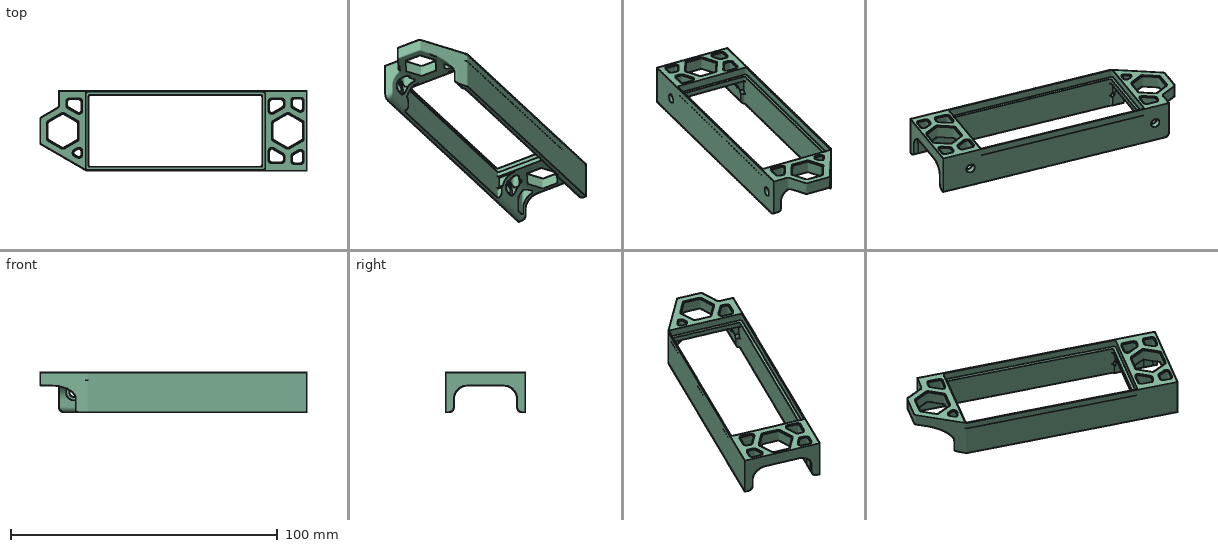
import cadquery as cq
import math

LENGTH = 100.0
WIDTH = 30.0
HEIGHT = 15.0
END_X = LENGTH / 2

SLANT = math.radians(30)
SLOPE = math.tan(SLANT)

PICK_MARGIN = 0.1

HEX_ACROSS_FLATS = 12.0
HEX_MARGIN = 2.5
HEX_CORNER_RADIUS = 1.0
HEX_APOTHEM = HEX_ACROSS_FLATS / 2
HEX_POINT = HEX_APOTHEM / math.cos(SLANT)
TAB_APOTHEM = HEX_APOTHEM + HEX_MARGIN
LEFT_HEX_X = -END_X + TAB_APOTHEM

WINDOW_LENGTH = 65.0
WINDOW_WIDTH = 26.8
WINDOW_CORNER_RADIUS = 0.5
SEAT_LEDGE = 1.2
SEAT_LENGTH = WINDOW_LENGTH + 2 * SEAT_LEDGE
SEAT_WIDTH = WINDOW_WIDTH + 2 * SEAT_LEDGE
SEAT_DEPTH = 3.0
SEAT_CORNER_RADIUS = 0.7
WINDOW_X = LEFT_HEX_X + TAB_APOTHEM + SEAT_LENGTH / 2
RIGHT_HEX_X = 2 * WINDOW_X - LEFT_HEX_X

NOTCH_X = -END_X + 7.0
TAB_CORNER_RADIUS = 1.0
SHOULDER_RADIUS = 1.75

ARCH_WIDTH = 23.6
ARCH_HEIGHT = 10.0
ARCH_RADIUS = 5.0
FOOT_RADIUS = 2.0
ARCH_EDGE_RADIUS = 0.5

RIB = 2.3
HOLE_POINT = HEX_POINT + RIB / math.cos(SLANT)
SPOKE = 2.4
SEAT_WALL = 1.2
END_WALL = 1.1
TAB_RIB = 2.5
SIDE_WALL = 2.8
OUTER_SIDE_WALL = 2.5
HOLE_CORNER_RADIUS = 1.3
TOP_CHAMFER = 0.4

SCREW_DIAMETER = 3.4
SPOTFACE_DIAMETER = 6.0
SPOTFACE_WALL = 2.5
SPOTFACE_REACH = 5.0
SCREW_X_FROM_END = 12.7
SCREW_Z = HEIGHT / 2

UNDERCUT = 0.8
UNDERCUT_BOTTOM = SCREW_Z - SPOTFACE_DIAMETER / 2
UNDERCUT_RISE = UNDERCUT * math.tan(math.radians(60))


def outer_block():
    """Block with the pointed tab at -X, its notch and its rounded corners."""
    nose_y = TAB_APOTHEM * SLOPE
    half_width = WIDTH / 2
    notch_y = nose_y + (NOTCH_X + END_X) * SLOPE
    shoulder_x = -END_X + (half_width - nose_y) / SLOPE
    block = (
        cq.Workplane("XY")
        .polyline([
            (END_X, -half_width),
            (END_X, half_width),
            (NOTCH_X, half_width),
            (NOTCH_X, notch_y),
            (-END_X, nose_y),
            (-END_X, -nose_y),
            (shoulder_x, -half_width),
        ])
        .close()
        .extrude(HEIGHT)
    )

    def upright_at(x, y):
        low = (x - PICK_MARGIN, y - PICK_MARGIN, 0)
        high = (x + PICK_MARGIN, y + PICK_MARGIN, HEIGHT)
        return cq.selectors.BoxSelector(low, high)

    for corner in [(NOTCH_X, notch_y), (-END_X, nose_y), (-END_X, -nose_y)]:
        block = block.edges(upright_at(*corner)).fillet(TAB_CORNER_RADIUS)
    return block.edges(upright_at(shoulder_x, -half_width)).fillet(SHOULDER_RADIUS)


def arch_tunnel():
    """Tunnel along the whole part, with rounded top corners."""
    return (
        cq.Workplane("YZ", origin=(-END_X, 0, 0))
        .rect(ARCH_WIDTH, 2 * ARCH_HEIGHT)
        .extrude(LENGTH)
        .edges("|X and >Z")
        .fillet(ARCH_RADIUS)
    )


def round_tab_arch(body):
    """Round the edge where the tunnel breaks out through the tab."""
    low = (-END_X - PICK_MARGIN, -ARCH_WIDTH / 2 - PICK_MARGIN, PICK_MARGIN)
    high = (WINDOW_X, ARCH_WIDTH / 2 + PICK_MARGIN, ARCH_HEIGHT + PICK_MARGIN)
    return body.edges(cq.selectors.BoxSelector(low, high)).edges("not |X").fillet(ARCH_EDGE_RADIUS)


def round_back_foot(body):
    """Round the +Y foot along the tunnel; the rounding runs on around the -X end of the leg."""
    low = (-END_X, ARCH_WIDTH / 2 - PICK_MARGIN, -PICK_MARGIN)
    high = (END_X, ARCH_WIDTH / 2 + PICK_MARGIN, PICK_MARGIN)
    return body.edges(cq.selectors.BoxSelector(low, high)).edges("|X").fillet(FOOT_RADIUS)


def front_foot_rounding():
    """Cutter that rounds the inner edge of the -Y foot along its whole length."""
    edge_y = -ARCH_WIDTH / 2
    corner = (
        cq.Workplane("YZ", origin=(-END_X, edge_y, 0))
        .rect(-FOOT_RADIUS, FOOT_RADIUS, centered=False)
        .extrude(LENGTH)
    )
    rounding = (
        cq.Workplane("YZ", origin=(-END_X, edge_y - FOOT_RADIUS, FOOT_RADIUS))
        .circle(FOOT_RADIUS)
        .extrude(LENGTH)
    )
    return corner.cut(rounding)


def flared_hole(points, radius):
    """Through cutter whose rounded outline, given at the top face, narrows by the chamfer."""
    blank = cq.Workplane("XY").polyline(points).close().extrude(HEIGHT).edges("|Z").fillet(radius)
    rim = blank.faces(">Z").wires().toPending().workplane()
    flare = rim.extrude(-TOP_CHAMFER, taper=45, combine=False)
    narrow = flare.faces("<Z").wires().toPending().workplane()
    shaft = narrow.extrude(HEIGHT, combine=False)
    return flare.union(shaft)


def hexagon_hole(center_x):
    """Cutter for one mounting hexagon."""
    corners = []
    for i in range(6):
        angle = SLANT + math.radians(60 * i)
        corners.append((center_x + HEX_POINT * math.cos(angle), HEX_POINT * math.sin(angle)))
    return flared_hole(corners, HEX_CORNER_RADIUS)


def corner_outline(near, far, side_y, to_right, to_back):
    """Four-sided outline between a hexagon and a side wall.

    It spans near to far along X from the hexagon centre; to_right and to_back are 1 or -1
    and pick the corner.
    """
    def slant_y(distance):
        return HOLE_POINT - distance * SLOPE

    quarter = [(near, side_y), (far, side_y), (far, slant_y(far)), (near, slant_y(near))]
    return [(to_right * x, to_back * y) for x, y in quarter]


def shifted(points, center_x):
    """Move an outline from the hexagon centre to its place along X."""
    return [(center_x + x, y) for x, y in points]


def lightening_holes():
    """Cutters for the six holes around the two hexagons."""
    near = SPOKE / 2
    seat_far = TAB_APOTHEM - SEAT_WALL
    end_far = END_X - RIGHT_HEX_X - END_WALL
    side_y = WIDTH / 2 - SIDE_WALL
    outer_side_y = WIDTH / 2 - OUTER_SIDE_WALL

    outlines = [shifted(corner_outline(near, seat_far, side_y, 1, 1), LEFT_HEX_X)]
    for to_back in (1, -1):
        outlines.append(shifted(corner_outline(near, seat_far, side_y, -1, to_back), RIGHT_HEX_X))
        outlines.append(shifted(corner_outline(near, end_far, outer_side_y, 1, to_back), RIGHT_HEX_X))

    tab_line = (TAB_APOTHEM - TAB_RIB) / math.cos(SLANT)
    apex_x = (HOLE_POINT - tab_line) / (2 * SLOPE)
    triangle = [
        (apex_x, -tab_line - apex_x * SLOPE),
        (seat_far, -tab_line - seat_far * SLOPE),
        (seat_far, -HOLE_POINT + seat_far * SLOPE),
    ]
    outlines.append(shifted(triangle, LEFT_HEX_X))
    return [flared_hole(outline, HOLE_CORNER_RADIUS) for outline in outlines]


def pocket(length, width, depth, radius):
    """Rounded rectangular cutter sunk from the top face, centred on the window."""
    return (
        cq.Workplane("XY", origin=(WINDOW_X, 0, HEIGHT - depth))
        .rect(length, width)
        .extrude(depth)
        .edges("|Z")
        .fillet(radius)
    )


def screw_hole(x):
    """Screw hole through the +Y wall with a flat seat for the screw head on the inside."""
    axis = cq.Workplane("XZ", origin=(x, WIDTH / 2, SCREW_Z))
    drill = axis.circle(SCREW_DIAMETER / 2).extrude(WIDTH / 2)
    seat_start = cq.Workplane("XZ", origin=(x, WIDTH / 2 - SPOTFACE_WALL, SCREW_Z))
    spotface = seat_start.circle(SPOTFACE_DIAMETER / 2).extrude(SPOTFACE_REACH)
    return drill.union(spotface)


def window_undercut():
    """Cutter that relieves both ends of the window, with steeply sloped bottoms."""
    half = WINDOW_LENGTH / 2
    return (
        cq.Workplane("XZ", origin=(WINDOW_X, WINDOW_WIDTH / 2, 0))
        .polyline([
            (-half, UNDERCUT_BOTTOM),
            (half, UNDERCUT_BOTTOM),
            (half + UNDERCUT, UNDERCUT_BOTTOM + UNDERCUT_RISE),
            (half + UNDERCUT, ARCH_HEIGHT),
            (-half - UNDERCUT, ARCH_HEIGHT),
            (-half - UNDERCUT, UNDERCUT_BOTTOM + UNDERCUT_RISE),
        ])
        .close()
        .extrude(WINDOW_WIDTH)
    )


part = round_tab_arch(outer_block().cut(arch_tunnel()))
part = round_back_foot(part).cut(front_foot_rounding())
for hex_x in (LEFT_HEX_X, RIGHT_HEX_X):
    part = part.cut(hexagon_hole(hex_x))
for hole in lightening_holes():
    part = part.cut(hole)
part = part.cut(pocket(WINDOW_LENGTH, WINDOW_WIDTH, HEIGHT, WINDOW_CORNER_RADIUS))
part = part.cut(pocket(SEAT_LENGTH, SEAT_WIDTH, SEAT_DEPTH, SEAT_CORNER_RADIUS))
part = part.cut(window_undercut())
screw_x = -END_X + SCREW_X_FROM_END
for x in (screw_x, 2 * WINDOW_X - screw_x):
    part = part.cut(screw_hole(x))

result = part